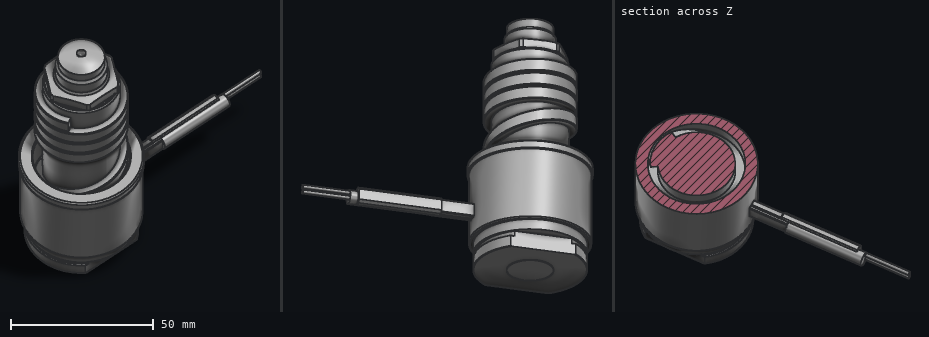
import math

import cadquery as cq

FOOT_RADIUS = 8.2
FOOT_HEIGHT = 0.3
BASE_RADIUS = 20.0
BASE_TOP = 4.5
BASE_CHAMFER = 0.2
GROOVE_RADIUS = 19.2
GROOVE_TOP = 6.4
BASE_FLAT_WIDTH = 32.2
COLLAR_TOP = 10.2
CUP_RADIUS = 21.5
CUP_CHAMFER = 0.5
RIM_RADIUS = 22.0
RIM_BOTTOM = 37.0
RIM_BOTTOM_CHAMFER = 0.3
RIM_TOP = 40.4
RIM_TOP_CHAMFER = 0.6
BORE_RADIUS = 17.0
BORE_CHAMFER = 0.45
BORE_FLOOR = 29.0

SHAFT_RADIUS = 13.6
SHAFT_TOP = 80.4
SHAFT_CHAMFER = 0.6
NUT_NECK_RADIUS = 12.8
NUT_BOTTOM = 80.8
NUT_FLAT_WIDTH = 24.0
NUT_CORNER_RADIUS = 13.5
NUT_CORNER_TOP = 84.0
NUT_CONE_RADIUS = 9.8
NUT_TOP = 84.8
STEM_RADIUS = 9.1
STEM_FLARE_TOP = 85.7
STEM_TOP = 89.9
TIP_RADIUS = 8.2
TIP_BOTTOM = 91.0
TIP_TOP = 96.3
DOME_RADIUS = 17.0
DIMPLE_RADIUS = 1.6

BAND_OUTER_RADIUS = 16.4
BAND_INNER_RADIUS = SHAFT_RADIUS - 0.4
BAND_HEIGHT = 4.7
BAND_CHAMFER = 0.3
BAND_START_ANGLE = -56.5
BAND_START_TOP = 76.8
FINE_PITCH = 5.4
COARSE_PITCH = 27.0
FINE_TURN = 1092.6
BLEND_TURN = 118.2
COARSE_TURN = 330.0
BAND_STEP_ANGLE = 10.0

CABLE_Z = 19.4
CABLE_START_Y = 18.0
CORE_LEFT_X = -2.8
CORE_SPLIT_X = -0.3
CORE_RIGHT_X = 1.2
CORE_HEIGHT = 5.0
CORE_CHAMFER = 0.3
CORE_END_Y = 36.4
JACKET_LEFT_X = -3.4
JACKET_RIGHT_X = 0.5
JACKET_HEIGHT = 6.0
JACKET_CHAMFER = 1.0
JACKET_START_Y = 33.2
JACKET_END_Y = 63.4
SLEEVE_RADIUS = 2.5
SLEEVE_START_Y = CORE_END_Y
SLEEVE_END_Y = 66.3
WIRE_RADIUS = 0.7
WIRE_X = -1.4
WIRE_SPACING = 1.95
WIRE_END_Y = 83.5


def revolve_profile(profile):
    """Turn a closed (radius, height) profile around the Z axis."""
    return profile.close().revolve(360, (0, 0, 0), (0, 1, 0))


def make_cup():
    body = revolve_profile(
        cq.Workplane("XZ")
        .moveTo(0, FOOT_HEIGHT)
        .lineTo(BASE_RADIUS - BASE_CHAMFER, FOOT_HEIGHT)
        .lineTo(BASE_RADIUS, FOOT_HEIGHT + BASE_CHAMFER)
        .lineTo(BASE_RADIUS, BASE_TOP)
        .lineTo(GROOVE_RADIUS, BASE_TOP)
        .lineTo(GROOVE_RADIUS, GROOVE_TOP)
        .lineTo(BASE_RADIUS, GROOVE_TOP)
        .lineTo(BASE_RADIUS, COLLAR_TOP)
        .lineTo(CUP_RADIUS - CUP_CHAMFER, COLLAR_TOP)
        .lineTo(CUP_RADIUS, COLLAR_TOP + CUP_CHAMFER)
        .lineTo(CUP_RADIUS, RIM_BOTTOM)
        .lineTo(RIM_RADIUS - RIM_BOTTOM_CHAMFER, RIM_BOTTOM)
        .lineTo(RIM_RADIUS, RIM_BOTTOM + RIM_BOTTOM_CHAMFER)
        .lineTo(RIM_RADIUS, RIM_TOP - RIM_TOP_CHAMFER)
        .lineTo(RIM_RADIUS - RIM_TOP_CHAMFER, RIM_TOP)
        .lineTo(BORE_RADIUS + BORE_CHAMFER, RIM_TOP)
        .lineTo(BORE_RADIUS, RIM_TOP - BORE_CHAMFER)
        .lineTo(BORE_RADIUS, BORE_FLOOR)
        .lineTo(0, BORE_FLOOR)
    )
    flat_depth = BASE_RADIUS - BASE_FLAT_WIDTH / 2
    for side in (-1, 1):
        flat_cut = (
            cq.Workplane("XY")
            .center(side * (BASE_FLAT_WIDTH + flat_depth) / 2, 0)
            .rect(flat_depth, 2 * BASE_RADIUS)
            .extrude(GROOVE_TOP)
        )
        body = body.cut(flat_cut)
    foot = cq.Workplane("XY").circle(FOOT_RADIUS).extrude(BORE_FLOOR)
    return body.union(foot)


def make_shaft():
    shaft_height = SHAFT_TOP - BORE_FLOOR
    shaft = cq.Workplane("XY").workplane(offset=BORE_FLOOR).circle(SHAFT_RADIUS).extrude(shaft_height)
    shaft = shaft.faces(">Z").chamfer(SHAFT_CHAMFER)
    neck_height = NUT_BOTTOM - SHAFT_TOP
    neck = cq.Workplane("XY").workplane(offset=SHAFT_TOP).circle(NUT_NECK_RADIUS).extrude(neck_height)
    return shaft.union(neck).union(make_nut())


def make_nut():
    """Hexagon with flats facing +X and -X, rounded corners and a conical top face."""
    blank = revolve_profile(
        cq.Workplane("XZ")
        .moveTo(0, NUT_BOTTOM)
        .lineTo(NUT_CORNER_RADIUS, NUT_BOTTOM)
        .lineTo(NUT_CORNER_RADIUS, NUT_CORNER_TOP)
        .lineTo(NUT_CONE_RADIUS, NUT_TOP)
        .lineTo(0, NUT_TOP)
    )
    hexagon = (
        cq.Workplane("XY")
        .workplane(offset=NUT_BOTTOM)
        .polygon(6, NUT_FLAT_WIDTH, circumscribed=True)
        .extrude(NUT_TOP - NUT_BOTTOM)
    )
    return hexagon.intersect(blank)


def make_tip():
    """Stem and cylindrical tip with a domed end and a hemispherical dimple."""
    dome_centre = TIP_TOP - math.sqrt(DOME_RADIUS**2 - DIMPLE_RADIUS**2)
    dome_edge = dome_centre + math.sqrt(DOME_RADIUS**2 - TIP_RADIUS**2)
    mid_radius = (TIP_RADIUS + DIMPLE_RADIUS) / 2
    mid_height = dome_centre + math.sqrt(DOME_RADIUS**2 - mid_radius**2)
    dimple_mid = DIMPLE_RADIUS / math.sqrt(2)
    return revolve_profile(
        cq.Workplane("XZ")
        .moveTo(0, NUT_TOP)
        .lineTo(NUT_CONE_RADIUS, NUT_TOP)
        .lineTo(STEM_RADIUS, STEM_FLARE_TOP)
        .lineTo(STEM_RADIUS, STEM_TOP)
        .lineTo(TIP_RADIUS, TIP_BOTTOM)
        .lineTo(TIP_RADIUS, dome_edge)
        .threePointArc((mid_radius, mid_height), (DIMPLE_RADIUS, TIP_TOP))
        .threePointArc((dimple_mid, TIP_TOP - dimple_mid), (0, TIP_TOP - DIMPLE_RADIUS))
    )


def band_drop(turn):
    """Descent of the band after winding down through the given angle in degrees."""
    fine = min(turn, FINE_TURN)
    blend = min(max(turn - FINE_TURN, 0), BLEND_TURN)
    coarse = max(turn - FINE_TURN - BLEND_TURN, 0)
    pitch_growth = (COARSE_PITCH - FINE_PITCH) / BLEND_TURN
    blend_drop = FINE_PITCH * blend + pitch_growth * blend**2 / 2
    return (FINE_PITCH * fine + blend_drop + COARSE_PITCH * coarse) / 360


def band_point(radius, offset, turn):
    angle = math.radians(BAND_START_ANGLE - turn)
    height = BAND_START_TOP + offset - band_drop(turn)
    return cq.Vector(radius * math.cos(angle), radius * math.sin(angle), height)


def make_band_section(turn_start, turn_end):
    """Solid stretch of band, closed by ruled faces between its corner curves."""
    section = [
        (BAND_INNER_RADIUS, 0),
        (BAND_OUTER_RADIUS - BAND_CHAMFER, 0),
        (BAND_OUTER_RADIUS, -BAND_CHAMFER),
        (BAND_OUTER_RADIUS, BAND_CHAMFER - BAND_HEIGHT),
        (BAND_OUTER_RADIUS - BAND_CHAMFER, -BAND_HEIGHT),
        (BAND_INNER_RADIUS, -BAND_HEIGHT),
    ]
    steps = math.ceil((turn_end - turn_start) / BAND_STEP_ANGLE)
    turns = [turn_start + (turn_end - turn_start) * i / steps for i in range(steps + 1)]
    curves = [
        cq.Edge.makeSpline([band_point(radius, offset, turn) for turn in turns])
        for radius, offset in section
    ]
    faces = [cq.Face.makeRuledSurface(curves[i - 1], curves[i]) for i in range(len(curves))]
    for turn in (turn_start, turn_end):
        corners = [band_point(radius, offset, turn) for radius, offset in section]
        faces.append(cq.Face.makeFromWires(cq.Wire.makePolygon(corners, close=True)))
    band = cq.Solid.makeSolid(cq.Shell.makeShell(faces))
    return cq.Workplane(band.fix())


def make_cable_bar(left, right, height, chamfer, start, end):
    """Rectangular bar along Y with its long edges chamfered."""
    bar = cq.Workplane("XY").box(right - left, end - start, height).edges("|Y").chamfer(chamfer)
    return bar.translate(((left + right) / 2, (start + end) / 2, CABLE_Z))


def make_rod(x, z, radius, start, end):
    """Round rod along Y."""
    return cq.Workplane("XZ", origin=(x, start, z)).circle(radius).extrude(start - end)


def make_cable():
    core_size = (CORE_HEIGHT, CORE_CHAMFER, CABLE_START_Y, CORE_END_Y)
    cable = make_cable_bar(CORE_LEFT_X, CORE_SPLIT_X, *core_size)
    cable = cable.union(make_cable_bar(CORE_SPLIT_X, CORE_RIGHT_X, *core_size))
    jacket = make_cable_bar(
        JACKET_LEFT_X, JACKET_RIGHT_X, JACKET_HEIGHT, JACKET_CHAMFER, JACKET_START_Y, JACKET_END_Y
    )
    cable = cable.union(jacket)
    cable = cable.union(make_rod(0, CABLE_Z, SLEEVE_RADIUS, SLEEVE_START_Y, SLEEVE_END_Y))
    for side in (-1, 1):
        wire_z = CABLE_Z + side * WIRE_SPACING / 2
        cable = cable.union(make_rod(WIRE_X, wire_z, WIRE_RADIUS, JACKET_END_Y, WIRE_END_Y))
    return cable


blend_end = FINE_TURN + BLEND_TURN
result = make_cup().union(make_shaft()).union(make_tip()).union(make_cable())
for turn_range in ((0, FINE_TURN), (FINE_TURN, blend_end), (blend_end, blend_end + COARSE_TURN)):
    result = result.union(make_band_section(*turn_range))